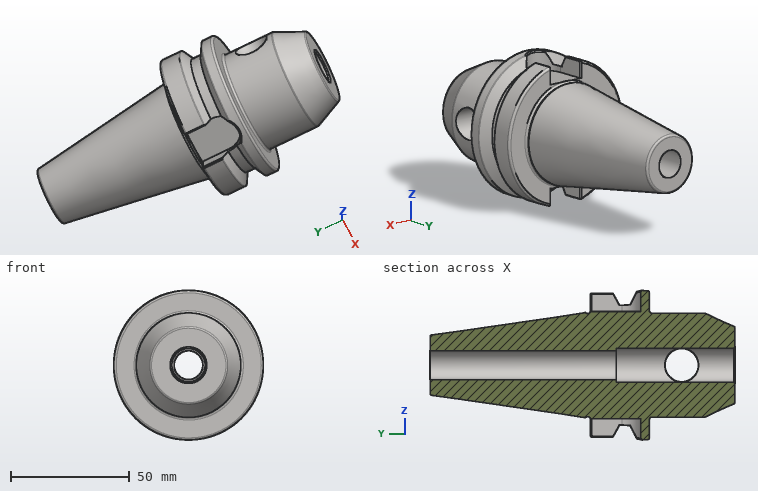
import cadquery as cq
import math


gauge_radius = 44.45 / 2
taper_length = 65.4
taper_slope = 7 / 24 / 2
tail_radius = gauge_radius - taper_length * taper_slope
tail_fillet = 1.0

neck_radius = 21.8
neck_cone_length = 0.85
neck_fillet = 1.0

flange_radius = 63 / 2
flange_back_y = -2.0
flange_width = 25.0
flange_front_y = flange_back_y - flange_width
flange_fillet = 1.0
groove_radius = 53 / 2
groove_center_y = -16.6
groove_floor_half_width = 2.25
groove_wall_angle = math.radians(60)
groove_fillet = 0.3
groove_cut_overshoot = 1.0
groove_cut_radius = flange_radius + groove_cut_overshoot
groove_cut_depth = groove_cut_radius - groove_radius
groove_cut_half_width = groove_floor_half_width + groove_cut_depth / math.tan(groove_wall_angle)

body_radius = 44 / 2
body_fillet = 1.0
nose_y = -63.0
nose_length = 12.75
nose_angle = math.radians(24.6)
nose_radius = body_radius - nose_length * math.tan(nose_angle)
nose_start_y = nose_y + nose_length
nose_start_fillet = 1.0
nose_fillet = 0.8

tool_bore_radius = 14 / 2
tool_bore_depth = 50.0
tool_bore_chamfer = 0.7
through_radius = 12.0 / 2

slot_width = 16.1
slot_floor_height = 22.6
slot_center_y = -15.2
slot_chamfer = 0.65

screw_distance_from_nose = 22.5
screw_y = nose_y + screw_distance_from_nose
screw_radius = 14 / 2
recess_radius = 8.0
recess_center_offset = 3.2

tolerance = 0.01


def rounded_outline(corners):
    """Close a polygon of (radius, y, fillet) corners, replacing filleted corners by tangent arcs."""
    outline = None
    for i, (radius, y, fillet) in enumerate(corners):
        corner = cq.Vector(radius, y)
        to_previous = (cq.Vector(*corners[i - 1][:2]) - corner).normalized()
        to_next = (cq.Vector(*corners[(i + 1) % len(corners)][:2]) - corner).normalized()
        half_angle = to_previous.getAngle(to_next) / 2
        setback = fillet / math.tan(half_angle)
        start = corner + to_previous * setback
        if outline is None:
            outline = cq.Workplane("XY").moveTo(start.x, start.y)
        else:
            outline = outline.lineTo(start.x, start.y)
        if fillet > 0:
            end = corner + to_next * setback
            bisector = (to_previous + to_next).normalized()
            middle = corner + bisector * (fillet / math.sin(half_angle) - fillet)
            outline = outline.threePointArc((middle.x, middle.y), (end.x, end.y))
    return outline.close()


def turned_body():
    """Full outside shape before the V groove and the slots are cut."""
    corners = [
        (0, taper_length, 0),
        (tail_radius, taper_length, tail_fillet),
        (gauge_radius, 0, 0),
        (neck_radius, -neck_cone_length, 0),
        (neck_radius, flange_back_y, neck_fillet),
        (flange_radius, flange_back_y, flange_fillet),
        (flange_radius, flange_front_y, flange_fillet),
        (body_radius, flange_front_y, body_fillet),
        (body_radius, nose_start_y, nose_start_fillet),
        (nose_radius, nose_y, nose_fillet),
        (0, nose_y, 0),
    ]
    return rounded_outline(corners).revolve(360, (0, 0, 0), (0, 1, 0))


def v_groove():
    """Ring that cuts the 60-degree V groove around the flange."""
    corners = [
        (groove_radius, groove_center_y + groove_floor_half_width, 0),
        (groove_radius, groove_center_y - groove_floor_half_width, 0),
        (groove_cut_radius, groove_center_y - groove_cut_half_width, 0),
        (groove_cut_radius, groove_center_y + groove_cut_half_width, 0),
    ]
    return rounded_outline(corners).revolve(360, (0, 0, 0), (0, 1, 0))


def bore():
    """Chamfered tool bore stepping down to the hole that runs through the taper."""
    corners = [
        (0, nose_y, 0),
        (tool_bore_radius + tool_bore_chamfer, nose_y, 0),
        (tool_bore_radius, nose_y + tool_bore_chamfer, 0),
        (tool_bore_radius, nose_y + tool_bore_depth, 0),
        (through_radius, nose_y + tool_bore_depth, 0),
        (through_radius, taper_length, 0),
        (0, taper_length, 0),
    ]
    return rounded_outline(corners).revolve(360, (0, 0, 0), (0, 1, 0))


def drive_slot():
    """Slot on the +Z side, open towards the taper and round at its front end."""
    height = flange_radius - slot_floor_height
    length = flange_back_y - slot_center_y
    floor = cq.Workplane("XY", origin=(0, slot_center_y, slot_floor_height))
    straight = floor.center(0, length / 2).rect(slot_width, length).extrude(height)
    return straight.union(floor.circle(slot_width / 2).extrude(height))


def screw_hole():
    """Radial hole from the axis out through the +X side of the body."""
    return cq.Workplane("YZ", origin=(0, screw_y, 0)).circle(screw_radius).extrude(body_radius)


def balancing_recess():
    """Ball whose centre lies just outside the -X side of the body."""
    center = (-body_radius - recess_center_offset, screw_y, 0)
    return cq.Workplane("XY", origin=center).sphere(recess_radius)


def slot_rim_edges(solid):
    """Edges where the slot walls meet the cylindrical rim of the flange."""
    straight_rim_front = flange_front_y + flange_fillet
    found = []
    for edge in solid.edges().vals():
        point = edge.positionAt(0.5)
        on_rim = abs(math.hypot(point.x, point.z) - flange_radius) < tolerance
        box = edge.BoundingBox()
        within_slot = max(box.xmax, -box.xmin) < slot_width / 2 + tolerance
        behind_front_fillet = box.ymin > straight_rim_front + tolerance
        if on_rim and within_slot and behind_front_fillet:
            found.append(edge)
    return found


def groove_rim_edges(solid):
    """Circular edges where the groove walls meet the cylindrical rim of the flange."""
    found = []
    for edge in solid.edges("%CIRCLE").vals():
        on_rim = abs(edge.radius() - flange_radius) < tolerance
        within_groove = abs(edge.Center().y - groove_center_y) < groove_cut_half_width
        if on_rim and within_groove:
            found.append(edge)
    return found


result = turned_body()
for side_angle in (0, 180):
    result = result.cut(drive_slot().rotate((0, 0, 0), (0, 1, 0), side_angle))
result = result.newObject(slot_rim_edges(result)).chamfer(slot_chamfer)
result = result.cut(v_groove())
result = result.newObject(groove_rim_edges(result)).fillet(groove_fillet)
result = result.cut(bore()).cut(screw_hole()).cut(balancing_recess())